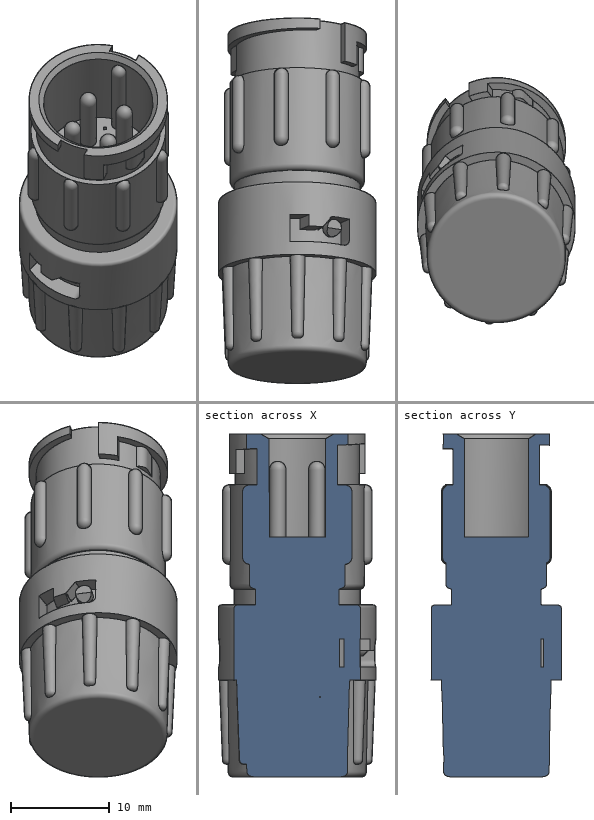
import cadquery as cq
import math


TOTAL_HEIGHT = 34.78
SLEEVE_TOP = 29.63
SLEEVE_BOTTOM = 19.02
COLLAR_TOP = 17.45
COLLAR_BOTTOM = 9.8

BARREL_RADIUS = 6.3
SLEEVE_RADIUS = 6.8
NECK_RADIUS = 6.4
COLLAR_RADIUS = 8.0
GRIP_TOP_RADIUS = 7.15
GRIP_BOTTOM_RADIUS = 7.0
SLEEVE_FILLET = 0.52
COLLAR_FILLET = 0.35
GRIP_FILLET = 0.52

BORE_RADIUS = 5.53
BORE_FLOOR = 24.35
BORE_CHAMFER = 0.5

FLANGE_RADIUS = 7.03
LUG_BOTTOM = 30.75
ENTRY_HALF_WIDTH = 1.45
STOP_OUTER_X = 3.3
RAMP_LOW = 33.05
RAMP_HIGH = 33.85
CHANNEL_HEIGHT = 3.48
CHANNEL_OVERRUN = 0.35

DETENT_RADIUS = 0.9
DETENT_CENTRE = (4.9, -3.13)
DETENT_RAMP_FOOT = (5.98, -2.0)

PIN_RADIUS = 0.85
PIN_OFFSET = 1.98
PIN_TOP = 32.0
KEY_RADIUS = 0.73
KEY_OFFSET = 5.15
KEY_TOP = 33.9
MARK_RADIUS = 0.17
MARK_POSITION = (-1.05, 4.07)
MARK_DEPTH = 0.17

SLEEVE_RIB_COUNT = 8
SLEEVE_RIB_AXIS_RADIUS = 6.85
SLEEVE_RIB_RADIUS = 0.73
SLEEVE_RIB_BOTTOM = 21.53
GRIP_RIB_COUNT = 10
GRIP_RIB_TOP_RADIUS = 0.75
GRIP_RIB_BOTTOM_RADIUS = 0.6
GRIP_RIB_BOTTOM = 1.3
GRIP_RIB_ROUNDING = 0.45
GRIP_RIB_FIRST_ANGLE = -85.0

WINDOW_LEFT = -4.75
WINDOW_RIGHT = 1.4
WINDOW_BOTTOM = 11.15
WINDOW_TOP = 13.98
WINDOW_TOOTH_BOTTOM = 12.8
WINDOW_TOOTH_LEFT = -3.1
WINDOW_TOOTH_TIP = -1.75
WINDOW_TOOTH_ROOT = -0.7
WINDOW_FILLET = 0.7
WINDOW_INNER_LEFT = -4.3
WINDOW_TOOTH_SLANT = 0.3

PEG_RADIUS = 0.85
PEG_HEIGHT = 13.08
PEG_REACH = 7.3
PEG_BEVEL_START = 12.95


def cylinder(radius, bottom, top, x=0.0, y=0.0):
    """Vertical cylinder between two heights."""
    return cq.Workplane("XY", origin=(x, y, bottom)).circle(radius).extrude(top - bottom)


def opposite(shape):
    """The same shape half a turn around the Z axis."""
    return shape.rotate((0, 0, 0), (0, 0, 1), 180)


def add_ring(body, shape, count, first_angle=0.0):
    """Body with copies of a shape joined on, spread evenly around the Z axis."""
    for index in range(count):
        angle = first_angle + index * 360.0 / count
        body = body.union(shape.rotate((0, 0, 0), (0, 0, 1), angle))
    return body


def domed_pin(radius, bottom, top, x, y):
    """Vertical pin with a hemispherical tip."""
    shaft = cylinder(radius, bottom, top - radius, x, y)
    tip = cq.Workplane("XY", origin=(x, y, top - radius)).sphere(radius)
    return shaft.union(tip)


def make_body():
    """Barrel, sleeve, neck, collar and tapered grip, all solid."""
    barrel = cylinder(BARREL_RADIUS, SLEEVE_TOP, TOTAL_HEIGHT)
    sleeve = cylinder(SLEEVE_RADIUS, SLEEVE_BOTTOM, SLEEVE_TOP).faces("<Z").edges().fillet(SLEEVE_FILLET)
    neck = cylinder(NECK_RADIUS, COLLAR_TOP, SLEEVE_BOTTOM)
    collar = cylinder(COLLAR_RADIUS, COLLAR_BOTTOM, COLLAR_TOP).faces(">Z").edges().fillet(COLLAR_FILLET)
    grip = (
        cq.Workplane("XY")
        .circle(GRIP_BOTTOM_RADIUS)
        .workplane(offset=COLLAR_BOTTOM)
        .circle(GRIP_TOP_RADIUS)
        .loft()
        .faces("<Z").edges().fillet(GRIP_FILLET)
    )
    return grip.union(collar).union(neck).union(sleeve).union(barrel)


def make_flange():
    """Mouth flange whose underside is a pair of rising bayonet ramps."""
    flange = cylinder(FLANGE_RADIUS, LUG_BOTTOM, TOTAL_HEIGHT)
    height = TOTAL_HEIGHT - LUG_BOTTOM
    base = cq.Workplane("XY", origin=(0, 0, LUG_BOTTOM))

    rise = RAMP_HIGH - RAMP_LOW
    channel_inner = BARREL_RADIUS - CHANNEL_OVERRUN
    channel_outer = FLANGE_RADIUS + CHANNEL_OVERRUN
    path = cq.Workplane(cq.Wire.makeHelix(2 * rise, rise, BARREL_RADIUS))
    channel = (
        cq.Workplane("XZ")
        .moveTo(channel_inner, -CHANNEL_HEIGHT)
        .lineTo(channel_outer, -CHANNEL_HEIGHT)
        .lineTo(channel_outer, 0)
        .lineTo(channel_inner, 0)
        .close()
        .sweep(path, isFrenet=True)
        .rotate((0, 0, 0), (0, 0, 1), 90)
        .translate((0, 0, RAMP_LOW))
    )

    stop = base.rect(-STOP_OUTER_X, channel_outer, centered=False).extrude(height)
    channel = channel.cut(stop)
    entry = base.rect(2 * ENTRY_HALF_WIDTH, 2 * channel_outer).extrude(height)
    return flange.cut(channel).cut(opposite(channel)).cut(entry)


def make_detent():
    """Round bump with a flat run-out that meets the barrel wall."""
    centre_x, centre_y = DETENT_CENTRE
    foot_x, foot_y = DETENT_RAMP_FOOT
    to_foot = math.hypot(foot_x - centre_x, foot_y - centre_y)
    foot_direction = math.atan2(foot_y - centre_y, foot_x - centre_x)
    tangent_angle = foot_direction - math.acos(DETENT_RADIUS / to_foot)
    tangent = (
        centre_x + DETENT_RADIUS * math.cos(tangent_angle),
        centre_y + DETENT_RADIUS * math.sin(tangent_angle),
    )
    height = RAMP_HIGH - LUG_BOTTOM
    bump = cylinder(DETENT_RADIUS, LUG_BOTTOM, RAMP_HIGH, centre_x, centre_y)
    run_out = (
        cq.Workplane("XY", origin=(0, 0, LUG_BOTTOM))
        .polyline([DETENT_CENTRE, tangent, DETENT_RAMP_FOOT])
        .close()
        .extrude(height)
    )
    return bump.union(run_out)


def make_bore():
    """Socket bore with a chamfered mouth."""
    mouth_radius = BORE_RADIUS + BORE_CHAMFER
    return (
        cq.Workplane("XZ")
        .moveTo(0, BORE_FLOOR)
        .lineTo(BORE_RADIUS, BORE_FLOOR)
        .lineTo(BORE_RADIUS, TOTAL_HEIGHT - BORE_CHAMFER)
        .lineTo(mouth_radius, TOTAL_HEIGHT)
        .lineTo(0, TOTAL_HEIGHT)
        .close()
        .revolve(360, (0, 0, 0), (0, 1, 0))
    )


def make_sleeve_rib():
    """Straight rib with spherical ends, on the +X side."""
    lower = SLEEVE_RIB_BOTTOM + SLEEVE_RIB_RADIUS
    upper = SLEEVE_TOP - SLEEVE_RIB_RADIUS
    return (
        cq.Workplane("XZ")
        .moveTo(0, SLEEVE_RIB_BOTTOM)
        .radiusArc((SLEEVE_RIB_RADIUS, lower), -SLEEVE_RIB_RADIUS)
        .lineTo(SLEEVE_RIB_RADIUS, upper)
        .radiusArc((0, SLEEVE_TOP), -SLEEVE_RIB_RADIUS)
        .close()
        .revolve(360, (0, 0, 0), (0, 1, 0))
        .translate((SLEEVE_RIB_AXIS_RADIUS, 0, 0))
    )


def make_grip_rib():
    """Tapered rib lying along the grip surface, on the +X side."""
    lean = math.degrees(math.atan2(GRIP_TOP_RADIUS - GRIP_BOTTOM_RADIUS, COLLAR_BOTTOM))
    length = COLLAR_BOTTOM - GRIP_RIB_BOTTOM
    tip_radius = GRIP_RIB_BOTTOM_RADIUS - GRIP_RIB_ROUNDING
    arc_reach = GRIP_RIB_ROUNDING * math.sqrt(0.5)
    rib = (
        cq.Workplane("XZ")
        .moveTo(0, 0)
        .lineTo(GRIP_RIB_TOP_RADIUS, 0)
        .lineTo(GRIP_RIB_BOTTOM_RADIUS, GRIP_RIB_ROUNDING - length)
        .threePointArc(
            (tip_radius + arc_reach, GRIP_RIB_ROUNDING - length - arc_reach),
            (tip_radius, -length),
        )
        .lineTo(0, -length)
        .close()
        .revolve(360, (0, 0, 0), (0, 1, 0))
    )
    return rib.rotate((0, 0, 0), (0, 1, 0), lean).translate((GRIP_TOP_RADIUS, 0, COLLAR_BOTTOM))


def make_window():
    """Hooked latch window on the -Y side, cut in to the neck radius."""
    outline = (
        cq.Workplane("XZ")
        .moveTo(WINDOW_LEFT, WINDOW_BOTTOM)
        .lineTo(WINDOW_RIGHT - WINDOW_FILLET, WINDOW_BOTTOM)
        .radiusArc((WINDOW_RIGHT, WINDOW_BOTTOM + WINDOW_FILLET), -WINDOW_FILLET)
        .lineTo(WINDOW_RIGHT, WINDOW_TOP)
        .lineTo(WINDOW_TOOTH_ROOT, WINDOW_TOP)
        .lineTo(WINDOW_TOOTH_TIP, WINDOW_TOOTH_BOTTOM)
        .lineTo(WINDOW_TOOTH_LEFT, WINDOW_TOOTH_BOTTOM)
        .lineTo(WINDOW_TOOTH_LEFT, WINDOW_TOP)
        .lineTo(WINDOW_LEFT, WINDOW_TOP)
        .close()
        .extrude(COLLAR_RADIUS)
    )
    outer_y = -math.sqrt(COLLAR_RADIUS**2 - WINDOW_LEFT**2)
    inner_y = -math.sqrt(NECK_RADIUS**2 - WINDOW_INNER_LEFT**2)
    end_wall = (
        cq.Workplane("XY", origin=(0, 0, WINDOW_BOTTOM))
        .polyline([(WINDOW_LEFT, outer_y), (WINDOW_INNER_LEFT, inner_y), (WINDOW_LEFT, inner_y)])
        .close()
        .extrude(WINDOW_TOP - WINDOW_BOTTOM)
    )
    flank_depth = COLLAR_RADIUS - NECK_RADIUS
    flank = [
        (WINDOW_TOOTH_TIP, WINDOW_TOOTH_BOTTOM),
        (WINDOW_TOOTH_ROOT, WINDOW_TOP),
        (WINDOW_TOOTH_TIP, WINDOW_TOP),
    ]
    leaned_flank = [(x + WINDOW_TOOTH_SLANT, z) for x, z in flank]
    tooth_flank = (
        cq.Workplane("XZ", origin=(0, -COLLAR_RADIUS, 0))
        .polyline(flank)
        .close()
        .workplane(offset=-flank_depth)
        .polyline(leaned_flank)
        .close()
        .loft(ruled=True)
    )
    core = cylinder(NECK_RADIUS, COLLAR_BOTTOM, COLLAR_TOP)
    return outline.cut(end_wall).cut(tooth_flank).cut(core)


def make_peg():
    """Latch peg pointing to -Y, its underside bevelled at the tip."""
    peg = cq.Workplane("XZ", origin=(0, 0, PEG_HEIGHT)).circle(PEG_RADIUS).extrude(PEG_REACH)
    bevel = PEG_BEVEL_START - (PEG_HEIGHT - PEG_RADIUS)
    corner = (
        cq.Workplane("YZ", origin=(-PEG_RADIUS, 0, 0))
        .moveTo(-PEG_REACH, PEG_BEVEL_START)
        .lineTo(-PEG_REACH, PEG_BEVEL_START - bevel)
        .lineTo(-PEG_REACH + bevel, PEG_BEVEL_START - bevel)
        .close()
        .extrude(2 * PEG_RADIUS)
    )
    return peg.cut(corner)


body = make_body().union(make_flange())
detent = make_detent()
body = body.union(detent).union(opposite(detent))
body = add_ring(body, make_sleeve_rib(), SLEEVE_RIB_COUNT)
body = add_ring(body, make_grip_rib(), GRIP_RIB_COUNT, GRIP_RIB_FIRST_ANGLE)

window = make_window()
peg = make_peg()
body = body.cut(window).cut(opposite(window))
body = body.union(peg).union(opposite(peg))

body = body.cut(make_bore())
for pin_x in (-PIN_OFFSET, PIN_OFFSET):
    for pin_y in (-PIN_OFFSET, PIN_OFFSET):
        body = body.union(domed_pin(PIN_RADIUS, BORE_FLOOR, PIN_TOP, pin_x, pin_y))
body = body.union(domed_pin(KEY_RADIUS, BORE_FLOOR, KEY_TOP, 0, KEY_OFFSET))
mark_x, mark_y = MARK_POSITION
body = body.cut(cylinder(MARK_RADIUS, BORE_FLOOR - MARK_DEPTH, BORE_FLOOR, mark_x, mark_y))

result = body